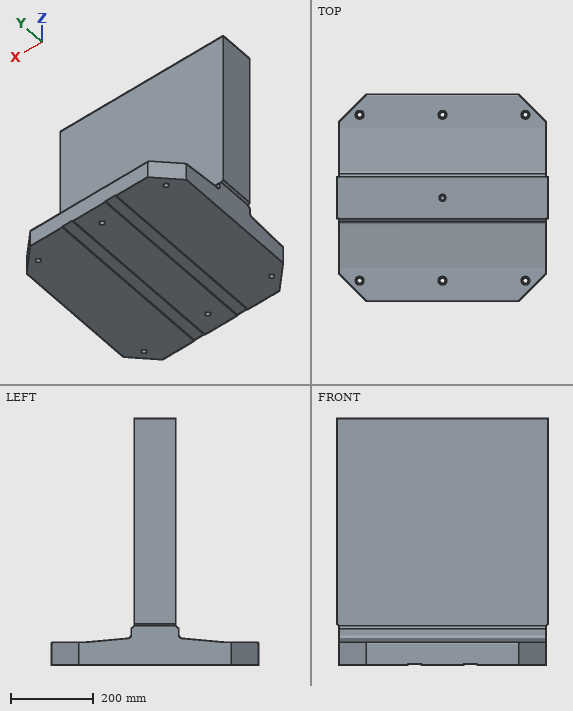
import cadquery as cq
import math

foot_size = 500.0
foot_edge_height = 55.5
corner_cut = 66.5
flat_margin = 81.0
edge_radius = 5.0

plinth_half_width = 58.0
plinth_top = 87.5
slope_top = 65.5
root_radius = 8.0

total_height = 595.0
wall_length = 510.0
wall_thickness = 101.0
wall_bottom = plinth_top + plinth_half_width - wall_thickness / 2
overhang_bevel = 5.5

foot_hole_spacing = 200.0
foot_hole_diameter = 13.0
foot_bore_diameter = 16.5
foot_bore_depth = 5.0
foot_countersink_diameter = 20.0
wall_hole_diameter = 12.0
wall_countersink_diameter = 16.0
wall_hole_depth = 30.0
countersink_angle = 90
drill_point_angle = 118

groove_offset = 67.0
groove_width = 32.0
groove_depth = 2.5


def round_long_edge(body, y, z, radius):
    """Fillet the edge that runs along X at the given Y and Z."""
    return body.edges(cq.NearestToPointSelector((0, y, z))).fillet(radius)


def make_base():
    """Foot, slopes and plinth as one YZ profile extruded along X, with the foot corners cut off."""
    half = foot_size / 2
    flat_edge = half - flat_margin
    wall_half = wall_thickness / 2
    right_side = [
        (half, 0),
        (half, foot_edge_height),
        (flat_edge, foot_edge_height),
        (plinth_half_width, slope_top),
        (plinth_half_width, plinth_top),
        (wall_half, wall_bottom),
    ]
    left_side = [(-y, z) for y, z in reversed(right_side)]
    base = (
        cq.Workplane("YZ")
        .polyline(right_side + left_side)
        .close()
        .extrude(half, both=True)
    )
    for side in (-1, 1):
        base = round_long_edge(base, side * half, foot_edge_height, edge_radius)
        base = round_long_edge(base, side * plinth_half_width, slope_top, root_radius)
    outline = (
        cq.Workplane("XY")
        .rect(foot_size, foot_size)
        .extrude(total_height)
        .edges("|Z")
        .chamfer(corner_cut)
    )
    return base.intersect(outline)


def make_wall():
    """Upright wall whose overhanging ends are bevelled back to the foot."""
    foot_half = foot_size / 2
    wall_end = wall_length / 2
    right_side = [
        (foot_half, wall_bottom),
        (wall_end, wall_bottom + overhang_bevel),
        (wall_end, total_height),
    ]
    left_side = [(-x, z) for x, z in reversed(right_side)]
    return (
        cq.Workplane("XZ")
        .polyline(right_side + left_side)
        .close()
        .extrude(wall_thickness / 2, both=True)
    )


def drill_foot_holes(body):
    """Countersunk, counterbored through holes, three along each of the level strips."""
    points = [
        (column * foot_hole_spacing, row * foot_hole_spacing)
        for column in (-1, 0, 1)
        for row in (-1, 1)
    ]
    foot_top = cq.Workplane("XY", origin=(0, 0, foot_edge_height))
    return (
        body.copyWorkplane(foot_top)
        .pushPoints(points)
        .cskHole(foot_hole_diameter, foot_countersink_diameter, countersink_angle)
        .copyWorkplane(foot_top)
        .pushPoints(points)
        .hole(foot_bore_diameter, foot_bore_depth)
    )


def drill_wall_hole(body):
    """Countersunk blind hole with a drill point in the middle of the wall's top face."""
    radius = wall_hole_diameter / 2
    rim_radius = wall_countersink_diameter / 2
    countersink_depth = (rim_radius - radius) / math.tan(math.radians(countersink_angle / 2))
    point_depth = radius / math.tan(math.radians(drill_point_angle / 2))
    hole_bottom = total_height - wall_hole_depth
    hole = (
        cq.Workplane("XZ")
        .polyline([
            (0, total_height),
            (rim_radius, total_height),
            (radius, total_height - countersink_depth),
            (radius, hole_bottom),
            (0, hole_bottom - point_depth),
        ])
        .close()
        .revolve(360, (0, 0), (0, 1))
    )
    return body.cut(hole)


def cut_grooves(body):
    """Two shallow grooves running front to back along the underside."""
    grooves = (
        cq.Workplane("XY")
        .pushPoints([(-groove_offset, 0), (groove_offset, 0)])
        .rect(groove_width, foot_size)
        .extrude(groove_depth)
    )
    return body.cut(grooves)


result = make_base().union(make_wall())
result = drill_foot_holes(result)
result = drill_wall_hole(result)
result = cut_grooves(result)